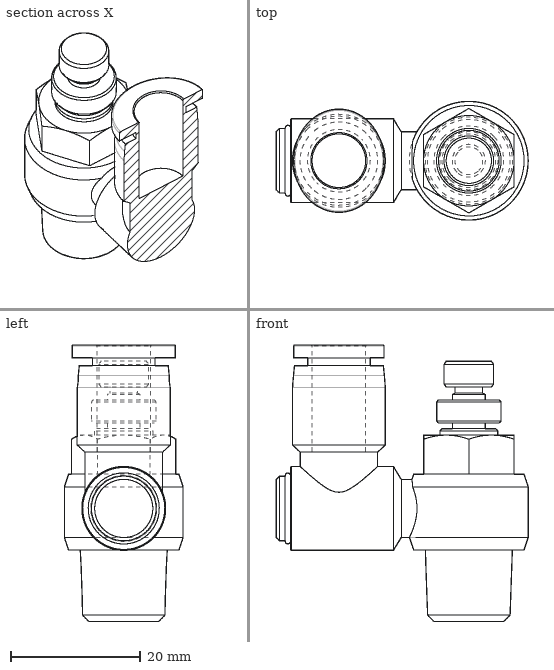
import cadquery as cq
import math


thread_tip_radius = 5.4
thread_low_radius = 6.4
thread_top_radius = 6.75
thread_chamfer_height = 1.0
thread_height = 11.05

body_radius = 9.2
body_end_radius = 8.55
body_chamfer_height = 1.95
body_height = 11.75
body_top = thread_height + body_height

hex_sides = 6
hex_across_flats = 14.0
hex_height = 6.05
hex_turn = 90
hex_chamfer_angle = 30
hex_top = body_top + hex_height

collar_radius = 4.5
collar_height = 1.0
collar_chamfer = 0.35
stem_radius = 2.55
stem_tip_radius = 2.15
nut_radius = 5.0
nut_gap = 0.85
nut_height = 3.6
nut_chamfer = 0.3
stem_above_nut = 0.8
stem_chamfer_height = 0.25
stem_tip_height = 0.9
knob_radius = 3.85
knob_height = 4.05
knob_chamfer_width = 0.35
knob_chamfer_height = 0.5

arm_radius = 6.5
arm_axis_z = 17.5
arm_left = -27.6
arm_right = -11.65
arm_edge_chamfer = 0.15
arm_cone_length = 1.2
arm_neck_radius = 4.5

ring_radius = 5.5
ring_length = 0.8
plug_radius = 5.0
plug_length = 1.4
plug_chamfer = 0.5

port_x = -20.1
port_top = 42.8
port_neck_radius = 6.0
sleeve_radius = 7.2
sleeve_shoulder_radius = 7.05
sleeve_top_radius = 6.9
sleeve_bottom = 26.2
sleeve_cone_height = 1.1
sleeve_shoulder_z = 36.2
sleeve_taper_height = 1.9
sleeve_top = 39.6
release_neck_radius = 4.85
flange_thickness = 2.0
flange_half_x = 7.0
flange_half_y = 8.0
flange_fillet = 0.2
tube_radius = 4.15
tube_edge_chamfer = 0.2


def turned(profile):
    """Solid of revolution about Z from (radius, z) points listed bottom to top."""
    bottom_z = profile[0][1]
    top_z = profile[-1][1]
    outline = [(0, bottom_z)] + profile + [(0, top_z)]
    return cq.Workplane("XZ").polyline(outline).close().revolve(360, (0, 0), (0, 1))


def disc(radius, bottom_z, height):
    """Plain cylinder on the Z axis."""
    return cq.Workplane("XY").workplane(offset=bottom_z).circle(radius).extrude(height)


def threaded_body():
    return turned([
        (thread_tip_radius, 0),
        (thread_low_radius, thread_chamfer_height),
        (thread_top_radius, thread_height),
        (body_end_radius, thread_height),
        (body_radius, thread_height + body_chamfer_height),
        (body_radius, body_top - body_chamfer_height),
        (body_end_radius, body_top),
    ])


def hexagon():
    """Hexagon whose top corners are cut by a cone that meets the flats at the top face."""
    flat_radius = hex_across_flats / 2
    corner_radius = flat_radius / math.cos(math.pi / hex_sides)
    corner_drop = (corner_radius - flat_radius) * math.tan(math.radians(hex_chamfer_angle))
    prism = (
        cq.Workplane("XY")
        .workplane(offset=body_top)
        .transformed(rotate=(0, 0, hex_turn))
        .polygon(hex_sides, 2 * corner_radius)
        .extrude(hex_height)
    )
    envelope = turned([
        (corner_radius, body_top),
        (corner_radius, hex_top - corner_drop),
        (flat_radius, hex_top),
    ])
    return prism.intersect(envelope)


def needle_stem():
    collar_top = hex_top + collar_height
    nut_bottom = collar_top + nut_gap
    nut_top = nut_bottom + nut_height
    stem_top = nut_top + stem_above_nut
    knob_bottom = stem_top + stem_chamfer_height + stem_tip_height
    knob_top = knob_bottom + knob_height
    knob_end_radius = knob_radius - knob_chamfer_width

    collar = disc(collar_radius, hex_top, collar_height).faces(">Z").chamfer(collar_chamfer)
    nut = disc(nut_radius, nut_bottom, nut_height).edges("%CIRCLE").chamfer(nut_chamfer)
    stem = turned([
        (stem_radius, hex_top),
        (stem_radius, stem_top),
        (stem_tip_radius, stem_top + stem_chamfer_height),
        (stem_tip_radius, knob_bottom),
        (knob_end_radius, knob_bottom),
        (knob_radius, knob_bottom + knob_chamfer_height),
        (knob_radius, knob_top - knob_chamfer_height),
        (knob_end_radius, knob_top),
    ])
    return stem.union(collar).union(nut)


def along_arm(shape):
    """Lay a shape built on the Z axis along +X at the height of the arm axis."""
    return shape.rotate((0, 0, 0), (0, 1, 0), 90).translate((0, 0, arm_axis_z))


def arm():
    """Arm barrel, cone and neck; the neck ends on the body axis, inside the body."""
    cone_end = arm_right + arm_cone_length
    return along_arm(turned([
        (arm_radius - arm_edge_chamfer, arm_left),
        (arm_radius, arm_left + arm_edge_chamfer),
        (arm_radius, arm_right),
        (arm_neck_radius, cone_end),
        (arm_neck_radius, 0),
    ]))


def arm_plug():
    """Plug with a ring of half-round rim between it and the end of the arm."""
    ring_left = arm_left - ring_length
    plug_left = ring_left - plug_length
    ring_shoulder_radius = ring_radius - ring_length / 2
    ring = (
        cq.Workplane("XZ")
        .moveTo(0, ring_left)
        .lineTo(ring_shoulder_radius, ring_left)
        .threePointArc((ring_radius, ring_left + ring_length / 2), (ring_shoulder_radius, arm_left))
        .lineTo(0, arm_left)
        .close()
        .revolve(360, (0, 0), (0, 1))
    )
    plug = disc(plug_radius, plug_left, arm_left - plug_left).faces("<Z").chamfer(plug_chamfer)
    return along_arm(ring.union(plug))


def tube_port():
    """Port neck, sleeve and oval release flange; the neck starts on the arm axis."""
    flange_bottom = port_top - flange_thickness
    port = turned([
        (port_neck_radius, arm_axis_z),
        (port_neck_radius, sleeve_bottom),
        (sleeve_radius, sleeve_bottom + sleeve_cone_height),
        (sleeve_radius, sleeve_shoulder_z),
        (sleeve_shoulder_radius, sleeve_shoulder_z + sleeve_taper_height),
        (sleeve_top_radius, sleeve_top),
        (release_neck_radius, sleeve_top),
        (release_neck_radius, flange_bottom),
    ])
    flange = (
        cq.Workplane("XY")
        .workplane(offset=flange_bottom)
        .ellipse(flange_half_x, flange_half_y)
        .extrude(flange_thickness)
        .faces(">Z")
        .edges()
        .fillet(flange_fillet)
    )
    return port.union(flange).translate((port_x, 0, 0))


def tube_bore():
    """Blind bore down to the foot of the sleeve, widened at the mouth."""
    return turned([
        (tube_radius, sleeve_bottom),
        (tube_radius, port_top - tube_edge_chamfer),
        (tube_radius + tube_edge_chamfer, port_top),
    ]).translate((port_x, 0, 0))


result = (
    threaded_body()
    .union(hexagon())
    .union(needle_stem())
    .union(arm())
    .union(arm_plug())
    .union(tube_port())
    .cut(tube_bore())
)